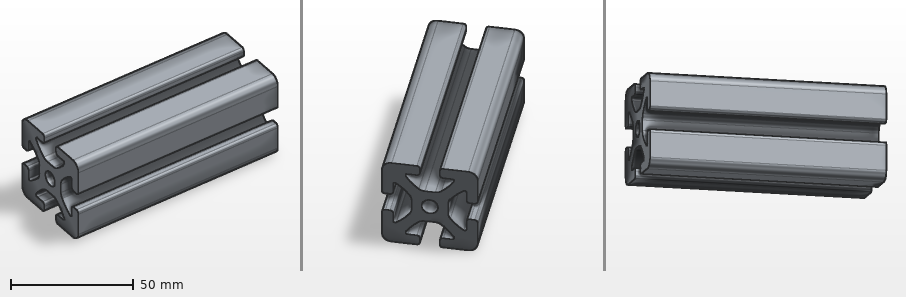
import cadquery as cq

side = 40.0
length = 100.0
corner_radius = 4.0
bore_diameter = 6.8

slot_opening = 8.2
lip_thickness = 4.7
lip_radius = 1.4
floor_height = 7.6
floor_half_width = 3.5
floor_radius = 4.2
web_radius = 22.0
pocket_half_width = 10.7
pocket_end_radius = 0.8
slot_count = 4

half_side = side / 2
half_opening = slot_opening / 2
lip_underside = half_side - lip_thickness


def extrude_profile(sketch):
    """Extrude an XZ outline symmetrically over the full length."""
    return sketch.extrude(length / 2, both=True)


def round_edges(body, half_width, height, radius):
    """Round the two lengthwise edges at x = +/-half_width and z = height."""
    reach = 0.01
    for x in (-half_width, half_width):
        edge_box = cq.selectors.BoxSelector(
            (x - reach, -length, height - reach),
            (x + reach, length, height + reach),
        )
        body = body.edges(edge_box).fillet(radius)
    return body


def make_slot():
    """Cutter for the upper T-slot: narrow mouth over a pocket with sloping sides."""
    outline = (
        cq.Workplane("XZ")
        .moveTo(0, floor_height)
        .lineTo(floor_half_width, floor_height)
        .radiusArc((pocket_half_width, lip_underside), -web_radius)
        .lineTo(half_opening, lip_underside)
        .lineTo(half_opening, half_side)
        .lineTo(0, half_side)
        .close()
    )
    half_slot = extrude_profile(outline)
    slot = half_slot.union(half_slot.mirror("YZ")).clean()
    slot = round_edges(slot, floor_half_width, floor_height, floor_radius)
    slot = round_edges(slot, pocket_half_width, lip_underside, pocket_end_radius)
    return slot


body = extrude_profile(cq.Workplane("XZ").rect(side, side)).edges("|Y").fillet(corner_radius)

slot = make_slot()
for _ in range(slot_count):
    body = body.cut(slot)
    for lip_height in (half_side, lip_underside):
        body = round_edges(body, half_opening, lip_height, lip_radius)
    body = body.rotate((0, 0, 0), (0, 1, 0), 360 / slot_count)

bore = extrude_profile(cq.Workplane("XZ").circle(bore_diameter / 2))
result = body.cut(bore)